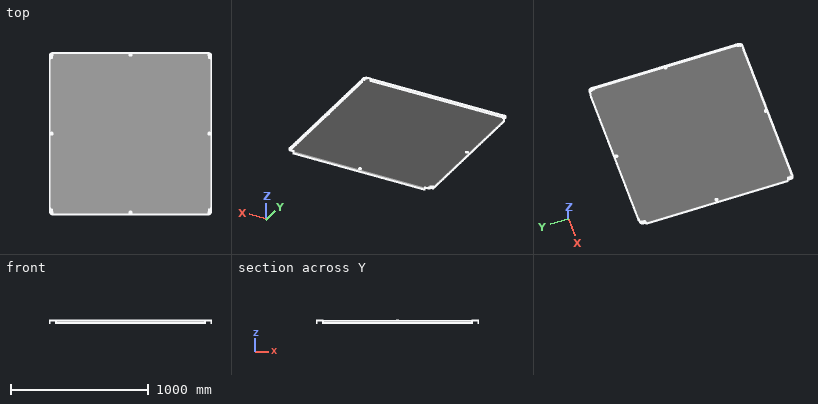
import cadquery as cq
import math

side = 1173.0
height = 20.0
sheet = 1.5
corner_radius = 23.0
flange_setback = 45.0

bend_inner_radius = 1.5
bend_outer_radius = bend_inner_radius + sheet

mounting_diameter = 14.0
mounting_inset = 14.0
pilot_diameter = 8.0
pilot_end_inset = 34.0

half_side = side / 2
flange_length = side - 2 * flange_setback
hole_reach = half_side - mounting_inset
pilot_reach = half_side - pilot_end_inset


def make_panel():
    """Flat top sheet with rounded corners; its upper face is at Z = height."""
    return (
        cq.Workplane("XY", origin=(0, 0, height - sheet))
        .rect(side, side)
        .extrude(sheet)
        .edges("|Z")
        .fillet(corner_radius)
    )


def turned(body, angle):
    """Turn a body about the vertical axis of the tray."""
    return body.rotate((0, 0, 0), (0, 0, 1), angle)


def make_bend_clearance(angle):
    """Block covering the panel edge that the rounded bend replaces."""
    clearance = (
        cq.Workplane("XY", origin=(0, -half_side + bend_outer_radius / 2, 0))
        .rect(flange_length, bend_outer_radius)
        .extrude(height)
    )
    return turned(clearance, angle)


def make_flange(angle):
    """Rounded bend and vertical flange along one side of the panel."""
    bend_y = -half_side + bend_outer_radius
    bend_z = height - bend_outer_radius
    inner_y = -half_side + sheet
    diagonal = math.sqrt(0.5)
    outer_mid = (bend_y - bend_outer_radius * diagonal, bend_z + bend_outer_radius * diagonal)
    inner_mid = (bend_y - bend_inner_radius * diagonal, bend_z + bend_inner_radius * diagonal)
    flange = (
        cq.Workplane("YZ", origin=(-flange_length / 2, 0, 0))
        .moveTo(-half_side, 0)
        .lineTo(-half_side, bend_z)
        .threePointArc(outer_mid, (bend_y, height))
        .lineTo(bend_y, height - sheet)
        .threePointArc(inner_mid, (inner_y, bend_z))
        .lineTo(inner_y, 0)
        .close()
        .extrude(flange_length)
    )
    return turned(flange, angle)


def drill(body, points, diameter):
    """Cut vertical through holes at the given points."""
    cutter = cq.Workplane("XY").pushPoints(points).circle(diameter / 2).extrude(height)
    return body.cut(cutter)


tray = make_panel()
for quarter_turn in (0, 90, 180, 270):
    tray = tray.cut(make_bend_clearance(quarter_turn))
    tray = tray.union(make_flange(quarter_turn))

steps = (-hole_reach, 0, hole_reach)
mounting_points = [(x, y) for x in steps for y in steps if (x, y) != (0, 0)]
tray = drill(tray, mounting_points, mounting_diameter)

pilot_points = [(x, y) for x in (-hole_reach, hole_reach) for y in (-pilot_reach, pilot_reach)]
result = drill(tray, pilot_points, pilot_diameter)